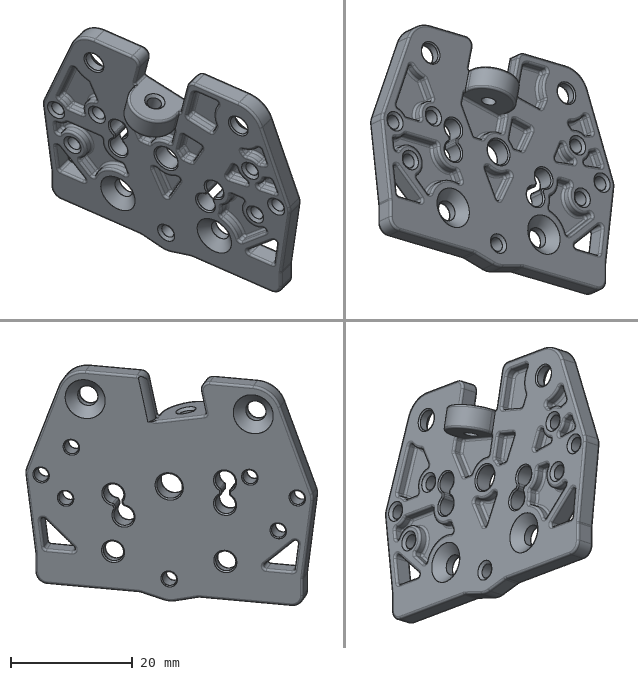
import cadquery as cq
import math

plate_thickness = 3.33
top_z = 18.88
bottom_z = -19.05
edge_round = 0.4
half_outline = [
    ((17.65, top_z), 4.9),
    ((24.5, 0.35), 2.6),
    ((22.75, -14.0), 2.0),
    ((22.75, bottom_z), 2.0),
    ((5.0, bottom_z), 2.0),
]
tip_corner = ((0, -20.35), 3.95)

tilt = 12
lug_across = -4.25
lug_bottom = 7.4
lug_top = 11.45
lug_radius = 4.5
lug_reach = 5.2
lug_round = 0.4
lug_root = 2.2
notch_half_width = 4.6
notch_floor_round = 0.4
notch_mouth_round = 1.45
relief_radius = 1.95
relief_depth = 1.65
relief_length = 9.8

small_diameter = 2.4
small_chamfer = 0.5
small_back_chamfer = 0.2
medium_diameter = 3.4
medium_chamfer = 0.25
countersink_diameter = 6.8
centre_diameter = 4.3
centre_chamfer = 0.25
keyhole_neck = 1.35
keyhole_neck_round = 0.5
keyhole_chamfer = 0.25

centre_hole = (0, 0)
left_top_hole, right_top_hole = (-14.3, 14.0), (14.3, 14.0)
left_side_hole, right_side_hole = (-21.75, 0), (21.75, 0)
left_countersink, right_countersink = (-9.55, -12.25), (9.55, -12.25)
upper_left_hole = (-13.7, 2.9)
lower_left_hole = (-18.55, -6.05)
upper_right_hole = (16.65, 5.35)
lower_right_hole = (17.6, -3.7)
bottom_hole = (0, -16.25)
left_keyhole = [(-9.5, 1.8), (-9.5, -2.25)]
right_keyhole = [(9.5, -2.25), (7.78, -5.9)]

pocket_depth = 1.75
pocket_corner = 0.5
pocket_floor_round = 0.4
boss_radius = 2.7
top_boss = 4.8
centre_boss = 3.55
keyhole_boss = 3.15
countersink_boss = 4.85
upper_pocket_top = 17.3
upper_pocket_bottom = 11.5
upper_pocket_corner = 1.2
rib_edge = 1.65
middle_pocket_bottom = 1.45
lower_pocket_top = -1.55

window_corners = [(-22.05, -6.8), (-21.25, -13.0), (-15.25, -13.0)]
window_corner_round = 0.5


def tilted(across, along):
    """X and Z of a point given in the tilted frame."""
    c = math.cos(math.radians(tilt))
    s = math.sin(math.radians(tilt))
    return (across * c + along * s, along * c - across * s)


def tilted_at_z(across, z):
    """Point at height z on the line that keeps the given "across" value."""
    angle = math.radians(tilt)
    return (across / math.cos(angle) + z * math.tan(angle), z)


def tilt_body(body):
    """Turn a body built upright about Y into the tilted frame."""
    return body.rotate((0, 0, 0), (0, 1, 0), tilt)


def mirrored(points):
    return [(-x, z) for x, z in points]


def prism(points, depth):
    """Solid reaching from the front face into the plate."""
    return cq.Workplane("XZ").polyline(points).close().extrude(-depth)


def pin(centre, radius, depth):
    return cq.Workplane("XZ").center(*centre).circle(radius).extrude(-depth)


def round_corner(body, corner, radius, depth):
    """Round the edge along Y that lies at the given corner."""
    x, z = corner
    nearest = cq.selectors.NearestToPointSelector((x, depth / 2, z))
    return body.edges("|Y").edges(nearest).fillet(radius)


def plate_blank():
    """Plate with its notch, all corners rounded."""
    left = lug_across - notch_half_width
    right = lug_across + notch_half_width
    notch = [
        (tilted_at_z(left, top_z), notch_mouth_round),
        (tilted(left, lug_top), notch_floor_round),
        (tilted(right, lug_top), notch_floor_round),
        (tilted_at_z(right, top_z), notch_mouth_round),
    ]
    left_half = [((-x, z), radius) for (x, z), radius in reversed(half_outline)]
    corners = notch + half_outline + [tip_corner] + left_half
    body = prism([point for point, radius in corners], plate_thickness)
    for point, radius in corners:
        body = round_corner(body, point, radius, plate_thickness)
    return body


def pocket(points, bosses, large_corner=None, large_radius=0):
    """Pocket cutter: a polygon less round bosses, given as (centre, radius)."""
    body = prism(points, pocket_depth)
    for centre, radius in bosses:
        body = body.cut(pin(centre, radius, pocket_depth))
    if large_corner:
        body = round_corner(body, large_corner, large_radius, pocket_depth)
    core = body.faces("<Y").wires().val().offset2D(-pocket_corner)[0]
    outline = core.offset2D(pocket_corner, "arc")[0]
    solid = cq.Solid.extrudeLinear(outline, [], cq.Vector(0, pocket_depth, 0))
    return cq.Workplane(solid).faces(">Y").edges().fillet(pocket_floor_round)


def upper_left_pocket():
    points = [(-17.8, 13.1), (-22.0, middle_pocket_bottom), (-13.7, middle_pocket_bottom),
              (-13.15, 4.8), (-15.7, 10.02), (-15.65, 13.1)]
    bosses = [(left_top_hole, top_boss), (left_side_hole, boss_radius), (upper_left_hole, boss_radius)]
    return pocket(points, bosses)


def upper_right_pocket():
    corner = tilted_at_z(rib_edge, upper_pocket_top)
    points = [corner, (11.25, upper_pocket_top), (11.25, 14.7),
              tilted(6.8, upper_pocket_bottom), tilted(rib_edge, upper_pocket_bottom)]
    return pocket(points, [(right_top_hole, top_boss)], corner, upper_pocket_corner)


def small_right_pockets():
    """Three small pockets around the upper right hole."""
    boss = (upper_right_hole, boss_radius)
    above = [(18.15, 12.7), (19.9, 8.05), (17.6, 7.25), (16.35, 7.05), (14.2, 9.3), (14.65, 11.75)]
    left = [(13.5, 5.6), (11.65, 1.3), (16.35, 1.9), (16.35, 5.35)]
    right = [(17.1, 2.1), (17.1, 4.1), (20.8, 5.55), (22.05, 2.7)]
    return [pocket(above, [boss, (right_top_hole, top_boss)]), pocket(left, [boss]), pocket(right, [boss])]


def centre_pockets():
    """Three pockets around the central hole: left under the lug, right and below."""
    boss = [(centre_hole, centre_boss)]
    left = [tilted(-8.8, lug_bottom), tilted(0.2, lug_bottom), tilted(0.2, 2.45),
            (-2.45, middle_pocket_bottom), (-5.15, middle_pocket_bottom), (-7.65, 6.6)]
    right = [tilted(rib_edge, lug_bottom), (7.35, 6.0), (5.15, middle_pocket_bottom),
             (2.55, middle_pocket_bottom), tilted(rib_edge, 2.7)]
    below = [(-3.05, -3.05), (3.05, -3.05), (0, -9.15)]
    return [pocket(points, boss) for points in (left, right, below)]


def lower_left_pocket():
    points = [(-22.2, lower_pocket_top), (-9.8, lower_pocket_top), (-9.1, -4.1), (-7.25, -8.05),
              (-11.75, -12.22), (-13.85, -12.0), (-17.85, -8.2), (-18.6, -5.15), (-21.75, -5.15)]
    bosses = [(left_side_hole, boss_radius), (lower_left_hole, boss_radius),
              (left_keyhole[1], keyhole_boss), (left_countersink, countersink_boss)]
    return pocket(points, bosses)


def lower_right_pocket():
    points = [(10.75, lower_pocket_top), (17.6, lower_pocket_top), (18.45, -3.85), (20.45, -6.0),
              (13.85, -12.05), (9.8, -9.8), (9.8, -5.85)]
    bosses = [(lower_right_hole, boss_radius), (right_keyhole[0], keyhole_boss),
              (right_keyhole[1], keyhole_boss), (right_countersink, countersink_boss)]
    return pocket(points, bosses)


def window(points):
    return prism(points, plate_thickness).edges("|Y").fillet(window_corner_round)


def notch_relief():
    """Cutter that rounds off the back edge of the notch's right wall."""
    def wall_offset(depth):
        return relief_radius - math.sqrt(relief_radius**2 - depth**2)

    wall = lug_across + notch_half_width
    start_y = plate_thickness - relief_depth
    half_depth = relief_depth / 2
    body = (
        cq.Workplane("XY")
        .workplane(offset=lug_top)
        .moveTo(wall, start_y)
        .threePointArc((wall + wall_offset(half_depth), start_y + half_depth),
                       (wall + wall_offset(relief_depth), plate_thickness))
        .lineTo(lug_across, plate_thickness)
        .lineTo(lug_across, start_y)
        .close()
        .extrude(relief_length)
    )
    return tilt_body(body)


def add_lug(body):
    """Add the tilted lug and drill its hole, chamfered at the top."""
    height = lug_top - lug_bottom
    centre_y = lug_radius - lug_reach
    base = cq.Workplane("XY").workplane(offset=lug_bottom).center(lug_across, 0)
    lug = (
        base.moveTo(-lug_radius, lug_root)
        .lineTo(-lug_radius, centre_y)
        .threePointArc((0, -lug_reach), (lug_radius, centre_y))
        .lineTo(lug_radius, lug_root)
        .close()
        .extrude(height)
    )
    lug = lug.faces("<Z or >Z").edges("not(>Y)").fillet(lug_round)
    hole_rim = small_diameter / 2 + small_chamfer
    bore = base.center(0, centre_y).circle(small_diameter / 2).extrude(height)
    top_chamfer = cq.Solid.makeCone(hole_rim, 0, hole_rim, cq.Vector(lug_across, centre_y, lug_top),
                                    cq.Vector(0, 0, -1))
    bore = bore.union(cq.Workplane(top_chamfer))
    return body.union(tilt_body(lug)).cut(tilt_body(bore))


def through_hole(centre, diameter, front_chamfer, back_chamfer):
    """Cutter for a hole through the plate with 45 degree chamfers on its rims."""
    x, z = centre
    cutter = pin(centre, diameter / 2, plate_thickness)
    for y, direction, chamfer in ((0, 1, front_chamfer), (plate_thickness, -1, back_chamfer)):
        rim = diameter / 2 + chamfer
        cone = cq.Solid.makeCone(rim, diameter / 2, chamfer, cq.Vector(x, y, z), cq.Vector(0, direction, 0))
        cutter = cutter.union(cq.Workplane(cone))
    return cutter


def keyhole(first, second):
    """Cutter for two round holes joined by a neck, chamfered on both faces."""
    (x1, z1), (x2, z2) = first, second
    middle = ((x1 + x2) / 2, (z1 + z2) / 2)
    angle = math.degrees(math.atan2(z2 - z1, x2 - x1))
    cutter = (
        cq.Workplane("XZ")
        .center(*middle)
        .transformed(rotate=(0, 0, angle))
        .rect(math.dist(first, second), keyhole_neck)
        .extrude(-plate_thickness)
    )
    for centre in (first, second):
        cutter = cutter.union(pin(centre, medium_diameter / 2, plate_thickness))
    cutter = cutter.edges("|Y").fillet(keyhole_neck_round)
    rim = cutter.faces("<Y").wires().val().offset2D(keyhole_chamfer)[0]
    lip = cq.Workplane("XZ").add(rim).toPending().extrude(-keyhole_chamfer, taper=45)
    back_lip = lip.mirror("XZ", (0, plate_thickness / 2, 0))
    return cutter.union(lip).union(back_lip)


result = plate_blank()

pockets = [upper_left_pocket(), upper_right_pocket(), lower_left_pocket(), lower_right_pocket()]
for cutter in pockets + small_right_pockets() + centre_pockets():
    result = result.cut(cutter)
for points in (window_corners, mirrored(window_corners)):
    result = result.cut(window(points))

result = result.faces("<Y").edges().fillet(edge_round)
result = result.faces(">Y").edges().fillet(edge_round)

result = add_lug(result.cut(notch_relief()))

small_holes = [left_side_hole, right_side_hole, upper_left_hole, lower_left_hole,
               upper_right_hole, lower_right_hole, bottom_hole]
for centre in small_holes:
    result = result.cut(through_hole(centre, small_diameter, small_chamfer, small_back_chamfer))
countersink = (countersink_diameter - medium_diameter) / 2
for centre in (left_top_hole, right_top_hole):
    result = result.cut(through_hole(centre, medium_diameter, medium_chamfer, countersink))
for centre in (left_countersink, right_countersink):
    result = result.cut(through_hole(centre, medium_diameter, countersink, medium_chamfer))
result = result.cut(through_hole(centre_hole, centre_diameter, centre_chamfer, centre_chamfer))
for first, second in (left_keyhole, right_keyhole):
    result = result.cut(keyhole(first, second))